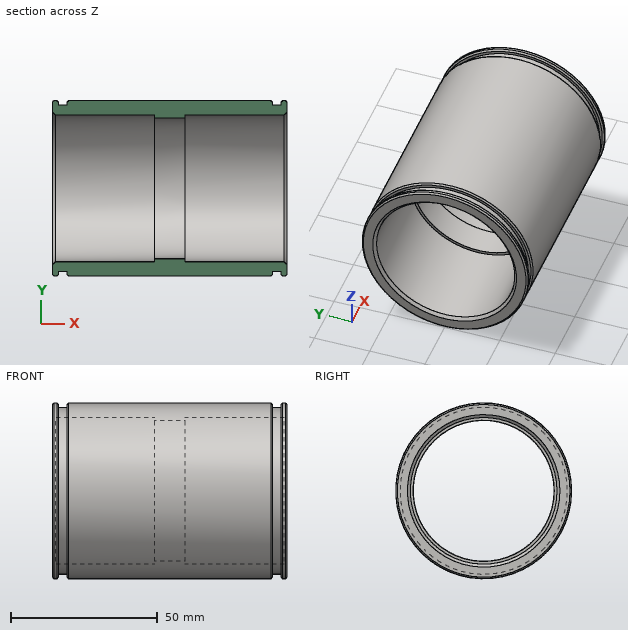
import cadquery as cq

length = 80.0
outer_diameter = 60.0
bore_diameter = 48.0

collar_width = 2.1
groove_width = 2.9
groove_diameter = 57.0
edge_chamfer = 0.6

counterbore_diameter = 50.0
land_width = 10.4
mouth_diameter = 52.0
mouth_chamfer_depth = 1.0

half_length = length / 2
outer_radius = outer_diameter / 2
counterbore_depth = (length - land_width) / 2


def revolve_around_x(profile):
    """Turn a profile of (x, radius) points around the sleeve axis."""
    return cq.Workplane("XY").polyline(profile).close().revolve(360, (0, 0), (1, 0))


def chamfered_cylinder(start_x, width):
    """Full-diameter cylinder with both rims chamfered."""
    cylinder = cq.Workplane("YZ", origin=(start_x, 0, 0)).circle(outer_radius).extrude(width)
    return cylinder.edges().chamfer(edge_chamfer)


def bore_mouth():
    """Cutter for the counterbore and lead-in chamfer at the -X end."""
    mouth_radius = mouth_diameter / 2
    counterbore_radius = counterbore_diameter / 2
    return revolve_around_x([
        (-half_length, 0),
        (-half_length, mouth_radius),
        (-half_length + mouth_chamfer_depth, counterbore_radius),
        (-half_length + counterbore_depth, counterbore_radius),
        (-half_length + counterbore_depth, 0),
    ])


core = cq.Workplane("YZ", origin=(-half_length, 0, 0)).circle(groove_diameter / 2).extrude(length)
body_length = length - 2 * (collar_width + groove_width)
body = chamfered_cylinder(-body_length / 2, body_length)
left_collar = chamfered_cylinder(-half_length, collar_width)
right_collar = left_collar.mirror("YZ")
sleeve = core.union(body).union(left_collar).union(right_collar)

bore = cq.Workplane("YZ", origin=(-half_length, 0, 0)).circle(bore_diameter / 2).extrude(length)
left_mouth = bore_mouth()
right_mouth = left_mouth.mirror("YZ")
result = sleeve.cut(bore).cut(left_mouth).cut(right_mouth)